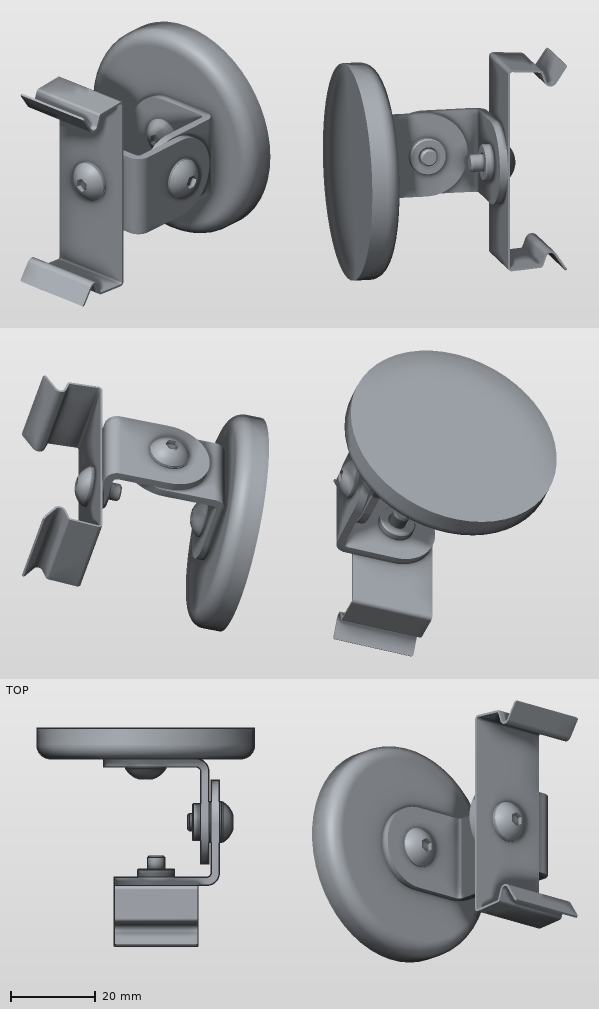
import cadquery as cq
import math


disc_diameter = 51.8
disc_thickness = 7.35
disc_edge_radius = 3.25

plate_thickness = 2.0
plate_width = 20.0
leg_length = 25.05
bend_outer_radius = 3.0
bend_inner_radius = bend_outer_radius - plate_thickness
hole_distance = leg_length - plate_width / 2

nut_radius = 4.4
nut_height = 2.0
nut_outer_chamfer = 0.25
thread_chamfer = 0.35

shank_radius = 2.1
shank_length = 7.55
tip_chamfer = 0.4
head_radius = 4.8
rim_height = 0.35
dome_height = 2.65
socket_sides = 6
socket_width = 3.0
socket_depth = 1.55
flange_radius = 4.9
flange_height = 0.45

spacer_height = 0.5

clip_thickness = 0.5
clip_width = 20.0
clip_back_corner_radius = 0.75
clip_knee_radius = 0.5
clip_valley_radius = 1.35
clip_tip_corner_radius = 0.5
clip_back_half_height = 24.3
clip_knee_depth = 8.25
clip_knee_height = 23.75
clip_valley_depth = 10.1
clip_valley_height = 18.7
clip_tip_depth = 14.35
clip_tip_height = 24.95

rear_corner_x = hole_distance
pivot_y = -hole_distance
front_corner_x = rear_corner_x + spacer_height + plate_thickness
front_corner_y = pivot_y - hole_distance
clip_x = front_corner_x - hole_distance
clip_front_y = front_corner_y - clip_thickness


def cylinder(radius, bottom, top):
    """Cylinder on the Z axis between two heights."""
    return cq.Workplane("XY", origin=(0, 0, bottom)).circle(radius).extrude(top - bottom)


def facing_front(shape):
    """Turn a shape that points along +Z so that it points along -Y."""
    return shape.rotate((0, 0, 0), (1, 0, 0), 90)


def facing_right(shape):
    """Turn a shape that points along +Z so that it points along +X."""
    return shape.rotate((0, 0, 0), (0, 1, 0), 90)


def facing_left(shape):
    """Turn a shape that points along +Z so that it points along -X."""
    return shape.rotate((0, 0, 0), (0, 1, 0), -90)


def button_head():
    """Domed head with a hexagon socket, standing on Z = 0."""
    dome_top = rim_height + dome_height
    sphere_radius = (head_radius**2 + dome_height**2) / (2 * dome_height)
    mid_radius = head_radius / 2
    mid_z = dome_top - sphere_radius + math.sqrt(sphere_radius**2 - mid_radius**2)
    head = (
        cq.Workplane("XZ")
        .lineTo(head_radius, 0)
        .lineTo(head_radius, rim_height)
        .threePointArc((mid_radius, mid_z), (0, dome_top))
        .close()
        .revolve(360, (0, 0, 0), (0, 1, 0))
    )
    socket = (
        cq.Workplane("XY", origin=(0, 0, dome_top - socket_depth))
        .polygon(socket_sides, socket_width / math.cos(math.pi / socket_sides))
        .extrude(socket_depth)
        .rotate((0, 0, 0), (0, 0, 1), 180 / socket_sides)
    )
    return head.cut(socket)


def button_screw():
    """Screw with a flange under its head; the flange rests on Z = 0 and the shank points to -Z."""
    shank = cylinder(shank_radius, -shank_length, 0).faces("<Z").chamfer(tip_chamfer)
    flange = cylinder(flange_radius, 0, flange_height)
    head = button_head().translate((0, 0, flange_height))
    return shank.union(flange).union(head)


def disc_base():
    """Rounded disc with the button headed stud that holds the first bracket."""
    disc = cylinder(disc_diameter / 2, -disc_thickness, 0).faces(">Z").edges().fillet(disc_edge_radius)
    stud = cylinder(shank_radius, 0, plate_thickness)
    head = button_head().translate((0, 0, plate_thickness))
    return facing_front(disc.union(stud).union(head))


def clinch_nut():
    """Nut body standing on Z = 0."""
    return cylinder(nut_radius, 0, nut_height).faces(">Z").edges().chamfer(nut_outer_chamfer)


def thread_bore():
    """Bore of a nut leg, countersunk where it leaves the nut; the nut stands on Z = 0."""
    bore = cylinder(shank_radius, -plate_thickness, nut_height)
    countersink = (
        cq.Workplane("XY", origin=(0, 0, nut_height))
        .circle(shank_radius + thread_chamfer)
        .workplane(offset=-thread_chamfer)
        .circle(shank_radius)
        .loft()
    )
    return bore.union(countersink)


def on_plain_leg(shape):
    """Place a shape from the plain leg's inner face, pointing to -Y, at the plain hole."""
    return facing_front(shape).translate((-hole_distance, -plate_thickness, 0))


def on_nut_leg(shape):
    """Place a shape from the nut leg's inner face, pointing to -X, at the nut."""
    return facing_left(shape).translate((-plate_thickness, -hole_distance, 0))


def bracket():
    """Angle bracket with its outer corner on the Z axis: a plain leg along -X, a nut leg along -Y."""
    angle = (
        cq.Workplane("XY", origin=(0, 0, -plate_width / 2))
        .polyline(
            [
                (0, 0),
                (-hole_distance, 0),
                (-hole_distance, -plate_thickness),
                (-plate_thickness, -plate_thickness),
                (-plate_thickness, -hole_distance),
                (0, -hole_distance),
            ]
        )
        .close()
        .extrude(plate_width)
    )
    angle = angle.edges("|Z").edges(">(1, 1, 0)").fillet(bend_outer_radius)
    inner_corner = cq.selectors.NearestToPointSelector((-plate_thickness, -plate_thickness, 0))
    angle = angle.edges("|Z").edges(inner_corner).fillet(bend_inner_radius)
    round_end = cylinder(plate_width / 2, -plate_thickness, 0)
    hole = cylinder(shank_radius, -plate_thickness, 0)
    return (
        angle.union(on_plain_leg(round_end))
        .union(on_nut_leg(round_end))
        .union(on_nut_leg(clinch_nut()))
        .cut(on_plain_leg(hole))
        .cut(on_nut_leg(thread_bore()))
    )


def spacer():
    """Ring on the outer face of the pivot leg that keeps the two brackets apart."""
    ring = cylinder(flange_radius, 0, spacer_height).cut(cylinder(shank_radius, 0, spacer_height))
    return facing_right(ring).translate((rear_corner_x, pivot_y, 0))


def spring_clip():
    """Bent strip with a hooked arm at each end, its back on Y = 0 and its arms pointing to -Y."""
    upper_corners = [
        (clip_thickness / 2, clip_back_half_height, clip_back_corner_radius),
        (clip_knee_depth, clip_knee_height, clip_knee_radius),
        (clip_valley_depth, clip_valley_height, clip_valley_radius),
    ]
    lower_corners = [(depth, -height, radius) for depth, height, radius in upper_corners]
    corners = lower_corners[::-1] + upper_corners
    tips = [(clip_tip_depth, -clip_tip_height), (clip_tip_depth, clip_tip_height)]
    outline = [tips[0]] + [(depth, height) for depth, height, _ in corners] + [tips[1]]
    path = cq.Wire.makePolygon([cq.Vector(0, -depth, height) for depth, height in outline])
    for depth, height, radius in corners:
        corner = cq.Vector(0, -depth, height)
        vertex = min(path.Vertices(), key=lambda v: (v.Center() - corner).Length)
        path = path.fillet(radius, [vertex])
    section = cq.Plane(origin=path.startPoint(), xDir=(1, 0, 0), normal=path.tangentAt(0))
    strip = cq.Workplane(section).rect(clip_width, clip_thickness).sweep(cq.Workplane(obj=path))
    for side in (-1, 1):
        for end in (-1, 1):
            tip_corner = (side * clip_width / 2, -clip_tip_depth, end * clip_tip_height)
            nearest = cq.selectors.NearestToPointSelector(tip_corner)
            strip = strip.edges("not |X").edges(nearest).fillet(clip_tip_corner_radius)
    return strip.cut(facing_front(cylinder(shank_radius, 0, clip_thickness)))


base = disc_base()
rear_bracket = bracket().translate((rear_corner_x, 0, 0)).union(spacer())
front_bracket = bracket().rotate((0, 0, 0), (0, 0, 1), -90)
front_bracket = front_bracket.translate((front_corner_x, front_corner_y, 0))
clip = spring_clip().translate((clip_x, front_corner_y, 0))

screw_places = [
    (facing_right, (front_corner_x, pivot_y, 0)),
    (facing_front, (clip_x, clip_front_y, 0)),
]
screws = [turn(button_screw()).translate(place) for turn, place in screw_places]

bodies = [base, rear_bracket, front_bracket, clip, *screws]
result = cq.Compound.makeCompound([body.solids().val() for body in bodies])